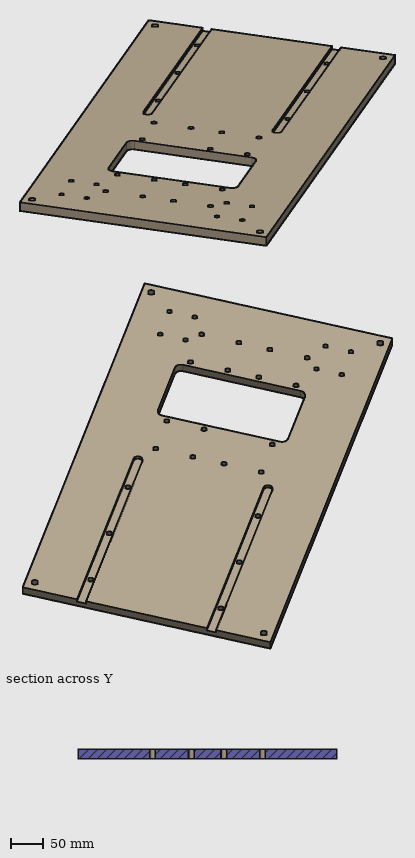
import cadquery as cq

WIDTH = 400.0
LENGTH = 660
THICKNESS = 15.0
TOP = THICKNESS / 2

CORNER_INSET = 15.0
CORNER_DIAMETER = 10.0

GROOVE_X = 105.0
GROOVE_WIDTH = 14.5
GROOVE_DEPTH = 5.0
GROOVE_END_Y = 25.0
GROOVE_HOLE_DIAMETER = 8.0
GROOVE_HOLE_PITCH = 100.0
GROOVE_HOLE_EDGE = 50.0
GROOVE_HOLE_COUNT = 3

WINDOW_Y = -129.5
WINDOW_WIDTH = 210.0
WINDOW_HEIGHT = 110.0
WINDOW_RADIUS = 10.0

ROW_DIAMETER = 8.0
INNER_ROW_OFFSET = 64.0
ROW_PITCH = 60.0
OUTER_COLUMN_X = 85.0
INNER_COLUMN_X = 25.0

GROUP_DIAMETER = 7.0
GROUP_X = 126.0
GROUP_Y = -260.0
GROUP_PITCH_X = 41.0
GROUP_PITCH_Y = 49.5


def drill(body, points, diameter):
    """Drill through holes at the given plan positions."""
    holes = (
        cq.Workplane("XY", origin=(0, 0, -TOP))
        .pushPoints(points)
        .circle(diameter / 2)
        .extrude(THICKNESS)
    )
    return body.cut(holes)


def groove(x):
    """Cutter for one groove along Y."""
    length = LENGTH / 2 - GROOVE_END_Y
    floor = cq.Workplane("XY", origin=(x, GROOVE_END_Y, TOP - GROOVE_DEPTH))
    channel = floor.center(0, length / 2).rect(GROOVE_WIDTH, length).extrude(GROOVE_DEPTH)
    return channel.union(floor.circle(GROOVE_WIDTH / 2).extrude(GROOVE_DEPTH))


def window():
    """Cutter for the window with rounded corners."""
    return (
        cq.Workplane("XY")
        .center(0, WINDOW_Y)
        .rect(WINDOW_WIDTH, WINDOW_HEIGHT)
        .extrude(TOP, both=True)
        .edges("|Z")
        .fillet(WINDOW_RADIUS)
    )


def row_points():
    """Hole positions around the window; the upper inner row has no left inner hole."""
    columns = [-OUTER_COLUMN_X, -INNER_COLUMN_X, INNER_COLUMN_X, OUTER_COLUMN_X]
    upper_inner_y = WINDOW_Y + INNER_ROW_OFFSET
    lower_inner_y = WINDOW_Y - INNER_ROW_OFFSET
    rows = [upper_inner_y + ROW_PITCH, upper_inner_y, lower_inner_y, lower_inner_y - ROW_PITCH]
    return [
        (x, y)
        for y in rows
        for x in columns
        if (x, y) != (-INNER_COLUMN_X, upper_inner_y)
    ]


corner_x = WIDTH / 2 - CORNER_INSET
corner_y = LENGTH / 2 - CORNER_INSET
corner_points = [(sx * corner_x, sy * corner_y) for sx in (-1, 1) for sy in (-1, 1)]

first_groove_hole_y = LENGTH / 2 - GROOVE_HOLE_EDGE
groove_hole_points = [
    (side * GROOVE_X, first_groove_hole_y - i * GROOVE_HOLE_PITCH)
    for side in (-1, 1)
    for i in range(GROOVE_HOLE_COUNT)
]

group_points = [
    (side * (GROUP_X + sx * GROUP_PITCH_X / 2), GROUP_Y + sy * GROUP_PITCH_Y / 2)
    for side in (-1, 1)
    for sx in (-1, 1)
    for sy in (-1, 1)
]

result = cq.Workplane("XY").box(WIDTH, LENGTH, THICKNESS)
for side in (-1, 1):
    result = result.cut(groove(side * GROOVE_X))
result = result.cut(window())
result = drill(result, corner_points, CORNER_DIAMETER)
result = drill(result, groove_hole_points, GROOVE_HOLE_DIAMETER)
result = drill(result, row_points(), ROW_DIAMETER)
result = drill(result, group_points, GROUP_DIAMETER)